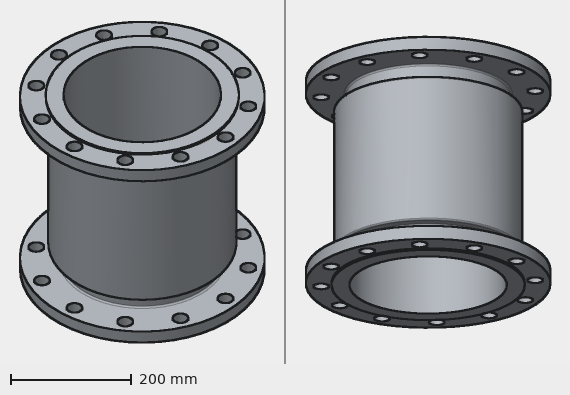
import cadquery as cq

flange_diameter = 405.0
overall_length = 365.0
bore_diameter = 260.5

flange_thickness = 23.0
raised_face_diameter = 320.0
raised_face_height = 3.0

bolt_hole_count = 12
bolt_hole_diameter = 26.0
bolt_circle_diameter = 355.0

neck_diameter = 273.0
neck_fillet_radius = 3.0
body_diameter = 312.0
body_length = 254.7
body_edge_radius = 3.0


def turned_profile():
    """Revolved wall section: flanges, raised faces, necks and body."""
    bore_radius = bore_diameter / 2
    face_radius = raised_face_diameter / 2
    flange_radius = flange_diameter / 2
    neck_radius = neck_diameter / 2
    body_radius = body_diameter / 2

    face_end = overall_length / 2
    flange_outer = face_end - raised_face_height
    flange_inner = flange_outer - flange_thickness
    body_end = body_length / 2

    upper_outline = [
        (bore_radius, face_end),
        (face_radius, face_end),
        (face_radius, flange_outer),
        (flange_radius, flange_outer),
        (flange_radius, flange_inner),
        (neck_radius, flange_inner),
        (neck_radius, body_end),
        (body_radius, body_end),
    ]
    lower_outline = [(radius, -height) for radius, height in reversed(upper_outline)]
    return (
        cq.Workplane("XZ")
        .polyline(upper_outline + lower_outline)
        .close()
        .revolve(360, (0, 0, 0), (0, 1, 0))
    )


def circular_edges(solid, diameter):
    """Select the full-circle edges of the given diameter."""
    tolerance = 0.05
    return solid.edges("%CIRCLE").filter(
        lambda edge: abs(edge.radius() - diameter / 2) < tolerance
    )


def bolt_holes():
    """Ring of drills through both flanges, with no hole on the X or Y axis."""
    half_pitch = 180.0 / bolt_hole_count
    return (
        cq.Workplane("XY")
        .polarArray(bolt_circle_diameter / 2, half_pitch, 360, bolt_hole_count)
        .circle(bolt_hole_diameter / 2)
        .extrude(overall_length / 2, both=True)
    )


spool = turned_profile()
spool = circular_edges(spool, neck_diameter).fillet(neck_fillet_radius)
spool = circular_edges(spool, body_diameter).fillet(body_edge_radius)

result = spool.cut(bolt_holes())